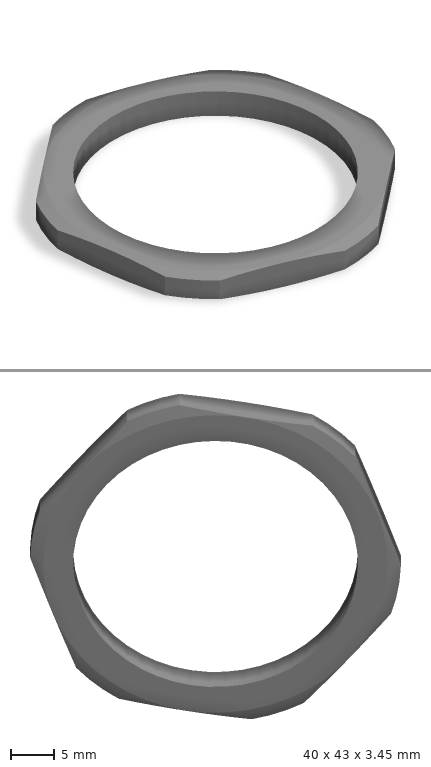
import cadquery as cq
import math

across_flats = 40.0
corner_diameter = 42.95
bore_diameter = 33.0
thickness = 3.45
face_diameter = 39.9
bevel_angle = 15.0

corner_radius = corner_diameter / 2
face_radius = face_diameter / 2
half_thickness = thickness / 2
bevel_height = (corner_radius - face_radius) * math.tan(math.radians(bevel_angle))
side_half_height = half_thickness - bevel_height


def hexagonal_prism():
    """Hexagon with two flats facing -X and +X, centred on the origin."""
    across_corners = across_flats / math.cos(math.radians(30))
    return (
        cq.Workplane("XY", origin=(0, 0, -half_thickness))
        .polygon(6, across_corners)
        .extrude(thickness)
        .rotate((0, 0, 0), (0, 0, 1), 30)
    )


def bevelled_disc():
    """Disc that rounds the hexagon corners and bevels both faces."""
    return (
        cq.Workplane("XZ")
        .moveTo(0, -half_thickness)
        .lineTo(face_radius, -half_thickness)
        .lineTo(corner_radius, -side_half_height)
        .lineTo(corner_radius, side_half_height)
        .lineTo(face_radius, half_thickness)
        .lineTo(0, half_thickness)
        .close()
        .revolve(360, (0, 0, 0), (0, 1, 0))
    )


def bore():
    """Plain through hole."""
    return cq.Workplane("XY").cylinder(thickness, bore_diameter / 2)


result = hexagonal_prism().intersect(bevelled_disc()).cut(bore())